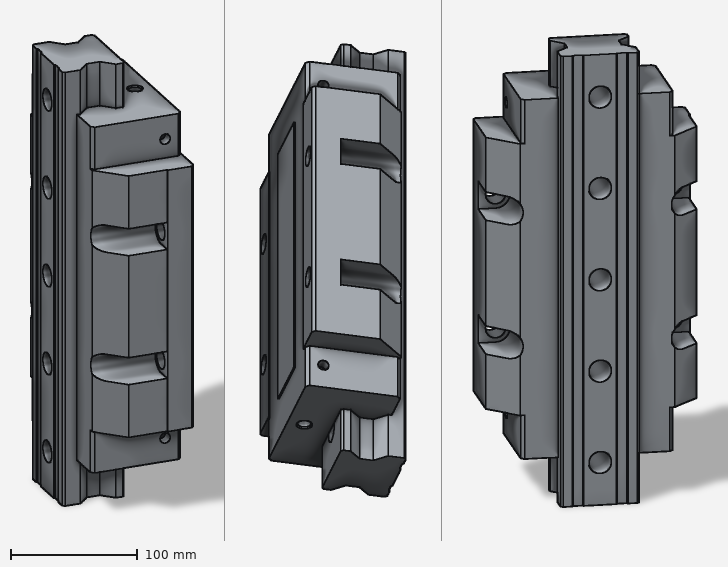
import cadquery as cq


rail_length = 370.0
rail_half_width = 31.5
rail_height = 53.0
rail_chamfer = 1.8
waist_half_width = 21.8
waist_top = 35.7
waist_bottom = 24.6
flank_run = rail_half_width - waist_half_width
relief_inner = 13.0
relief_outer = 22.5
relief_depth = 1.0
relief_wall_run = 1.0
rail_hole_diameter = 18.0
rail_hole_pitch = 75.0
rail_hole_count = 5

overall_height = 90.0
block_half_width = 85.0
block_length = 223.0
carriage_bottom = 12.0
side_chamfer = 23.0
top_chamfer = 2.5
side_step = 1.0
top_relief_inner = 25.5
top_relief_outer = 55.0
top_relief_depth = 1.0

mount_spacing_x = 142.0
mount_spacing_z = 110.0
mount_hole_diameter = 16.0
slot_width = 23.0
flange_bottom = 67.0

carriage_length = 295.0
cap_half_width = 61.0
cap_chamfer = 2.8
port_height = 75.0
port_depth = 10.0
side_port_diameter = 8.5
side_port_z = 127.5
end_port_diameter = 10.5
end_port_mouth_diameter = 12.7
end_port_mouth_chamfer = (end_port_mouth_diameter - end_port_diameter) / 2

SIDES = (-1, 1)


def extrude_along_z(outline, length):
    """Prism of an XY outline, centred on z = 0."""
    return cq.Workplane("XY").polyline(outline).close().extrude(length / 2, both=True)


def box_between(x_range, y_range, length):
    """Box with the given X and Y limits, centred on z = 0."""
    (x0, x1), (y0, y1) = x_range, y_range
    return extrude_along_z([(x0, y0), (x1, y0), (x1, y1), (x0, y1)], length)


def make_rail_bar():
    """Rail section without holes; it also shapes the channel in the carriage."""
    right_side = [
        (relief_inner, 0),
        (relief_inner + relief_wall_run, relief_depth),
        (relief_outer - relief_wall_run, relief_depth),
        (relief_outer, 0),
        (rail_half_width - rail_chamfer, 0),
        (rail_half_width, rail_chamfer),
        (rail_half_width, waist_bottom - flank_run),
        (waist_half_width, waist_bottom),
        (waist_half_width, waist_top),
        (rail_half_width, waist_top + flank_run),
        (rail_half_width, rail_height - rail_chamfer),
        (rail_half_width - rail_chamfer, rail_height),
    ]
    left_side = [(-x, y) for x, y in reversed(right_side)]
    return extrude_along_z(right_side + left_side, rail_length)


def make_rail():
    holes = (
        cq.Workplane("XZ")
        .rarray(1, rail_hole_pitch, 1, rail_hole_count)
        .circle(rail_hole_diameter / 2)
        .extrude(-rail_height)
    )
    return make_rail_bar().cut(holes)


def make_block():
    """Middle of the carriage, with its flanges and the reference edge on the +X side."""
    side_bottom = carriage_bottom + side_chamfer
    bottom_half_width = block_half_width - side_chamfer
    stepped_half_width = block_half_width - side_step
    outline = [
        (-bottom_half_width, carriage_bottom),
        (bottom_half_width, carriage_bottom),
        (stepped_half_width, side_bottom - side_step),
        (stepped_half_width, flange_bottom),
        (block_half_width, flange_bottom),
        (block_half_width, overall_height - top_chamfer),
        (block_half_width - top_chamfer, overall_height),
        (top_chamfer - block_half_width, overall_height),
        (-block_half_width, overall_height - top_chamfer),
        (-block_half_width, side_bottom),
    ]
    block = extrude_along_z(outline, block_length)
    for side in SIDES:
        relief_x = (side * top_relief_inner, side * top_relief_outer)
        relief_y = (overall_height - top_relief_depth, overall_height)
        block = block.cut(box_between(relief_x, relief_y, block_length))
    return block


def make_cap_bar():
    """Chamfered bar through the block whose two ends are the end caps."""
    cap_top = overall_height - top_relief_depth
    bar = box_between((-cap_half_width, cap_half_width), (carriage_bottom, cap_top), carriage_length)
    return bar.edges("|Z").chamfer(cap_chamfer)


def make_mount_cut(side, z):
    """Mounting hole with a round-ended slot below the flange, open to the side."""
    x = side * mount_spacing_x / 2
    slot_depth = flange_bottom - carriage_bottom
    hole = cq.Workplane("XZ").center(x, z).circle(mount_hole_diameter / 2).extrude(-overall_height)
    floor = cq.Workplane("XZ", origin=(0, carriage_bottom, 0))
    slot_end = floor.center(x, z).circle(slot_width / 2).extrude(-slot_depth)
    slot_opening_length = block_half_width - mount_spacing_x / 2
    slot_opening = (
        floor.center(x + side * slot_opening_length / 2, z)
        .rect(slot_opening_length, slot_width)
        .extrude(-slot_depth)
    )
    return hole.union(slot_end).union(slot_opening)


def make_side_port(side, end):
    """Blind lubrication port in the side of an end cap."""
    face = cq.Workplane("YZ", origin=(side * cap_half_width, port_height, end * side_port_z))
    return face.circle(side_port_diameter / 2).extrude(-side * port_depth)


def make_end_port(end):
    """Blind lubrication port in the outer face of an end cap, with a countersunk mouth."""
    face = cq.Workplane("XY", origin=(0, port_height, end * carriage_length / 2))
    bore = face.circle(end_port_diameter / 2).extrude(-end * port_depth)
    mouth = cq.Solid.makeCone(
        end_port_mouth_diameter / 2,
        end_port_diameter / 2,
        end_port_mouth_chamfer,
        pnt=cq.Vector(0, port_height, end * carriage_length / 2),
        dir=cq.Vector(0, 0, -end),
    )
    return bore.union(cq.Workplane(mouth))


def make_carriage():
    carriage = make_block().union(make_cap_bar()).cut(make_rail_bar())
    for end in SIDES:
        carriage = carriage.cut(make_end_port(end))
        for side in SIDES:
            carriage = carriage.cut(make_mount_cut(side, end * mount_spacing_z / 2))
            carriage = carriage.cut(make_side_port(side, end))
    return carriage


rail = make_rail()
carriage = make_carriage()
result = cq.Compound.makeCompound([rail.val(), carriage.val()])